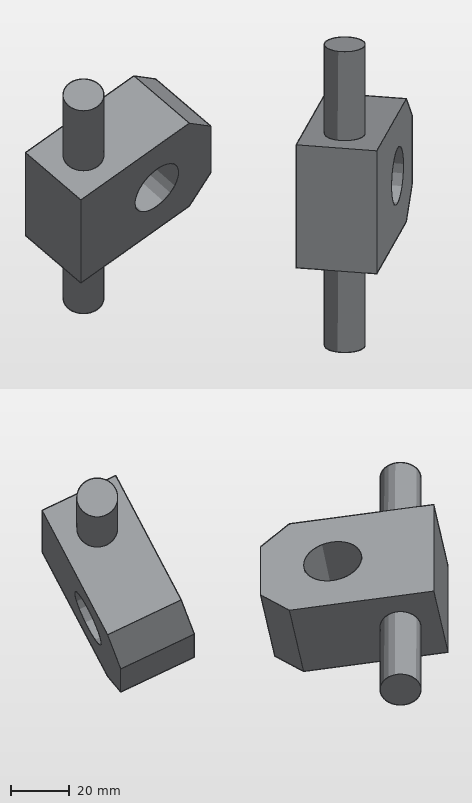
import cadquery as cq

block_width = 28.0
block_length = 60.0
block_height = 45.0
corner_chamfer = 10.0

hole_diameter = 20.0
hole_from_back = 25.0

rod_diameter = 14.0
rod_length = 110.0
rod_from_front = 14.0

front_y = -block_length / 2
back_y = block_length / 2


def make_block():
    """Block with its two back corners chamfered, centred on the origin."""
    block = cq.Workplane("XY").box(block_width, block_length, block_height)
    return block.faces(">Y").edges("|X").chamfer(corner_chamfer)


def make_cross_hole():
    """Cylinder that cuts the hole right through the block width."""
    return (
        cq.Workplane("YZ")
        .center(back_y - hole_from_back, 0)
        .circle(hole_diameter / 2)
        .extrude(block_width, both=True)
    )


def make_rod():
    """Round rod standing out equally above and below the block."""
    return (
        cq.Workplane("XY")
        .center(0, front_y + rod_from_front)
        .circle(rod_diameter / 2)
        .extrude(rod_length / 2, both=True)
    )


result = make_block().cut(make_cross_hole()).union(make_rod())